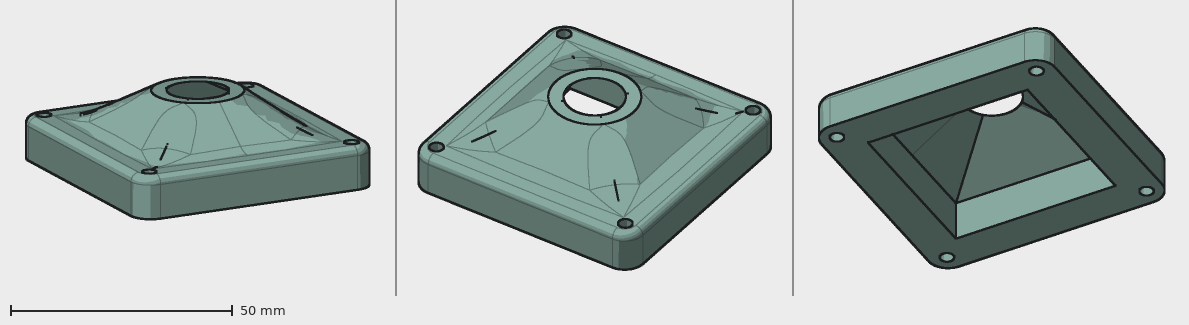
import cadquery as cq

side = 60.0
base_height = 10.0
corner_radius = 5.0
rim_radius = 2.0

total_height = 19.0
foot_side = 45.0
top_diameter = 21.0
foot_fillet = 6.05
hip_fillet = 15.0

wall = 2.0
opening_diameter = 14.05

hole_diameter = 3.3
hole_spacing = 51.35

hood_height = total_height - base_height
cavity_side = foot_side - 2 * wall
tolerance = 0.005


def square_to_round(square_side, diameter):
    """Solid blending from a square on the base top to a circle at full height."""
    return (
        cq.Workplane("XY", origin=(0, 0, base_height))
        .rect(square_side, square_side)
        .workplane(offset=hood_height)
        .circle(diameter / 2)
        .loft(combine=True)
    )


def is_rim_edge(edge):
    """True for an edge of the base outline at the level of the base top."""
    box = edge.BoundingBox()
    reach = max(box.xmax, -box.xmin, box.ymax, -box.ymin)
    return box.zmin > base_height - tolerance and abs(reach - side / 2) < tolerance


def is_foot_edge(edge):
    """True for a straight edge where the hood meets the base top."""
    box = edge.BoundingBox()
    reach = max(box.xmax, -box.xmin, box.ymax, -box.ymin)
    flat = box.zmin > base_height - tolerance and box.zmax < base_height + tolerance
    return flat and abs(reach - foot_side / 2) < tolerance


def is_hip_edge(edge):
    """True for a diagonal edge climbing from the foot fillet to the round top."""
    box = edge.BoundingBox()
    starts_low = base_height < box.zmin < base_height + hood_height / 2
    return starts_low and box.zmax > total_height - tolerance


def fillet_edges(body, condition, radius):
    chosen = [edge for edge in body.edges().vals() if condition(edge)]
    return body.newObject(chosen).fillet(radius)


plate = cq.Workplane("XY").rect(side, side).extrude(base_height)
body = plate.union(square_to_round(foot_side, top_diameter))
body = fillet_edges(body, is_foot_edge, foot_fillet)
body = fillet_edges(body, is_hip_edge, hip_fillet)

body = body.edges("|Z").fillet(corner_radius)
body = fillet_edges(body, is_rim_edge, rim_radius)

well = cq.Workplane("XY").rect(cavity_side, cavity_side).extrude(base_height)
body = body.cut(well).cut(square_to_round(cavity_side, opening_diameter))

screw_holes = (
    cq.Workplane("XY")
    .rect(hole_spacing, hole_spacing, forConstruction=True)
    .vertices()
    .circle(hole_diameter / 2)
    .extrude(base_height)
)
result = body.cut(screw_holes)